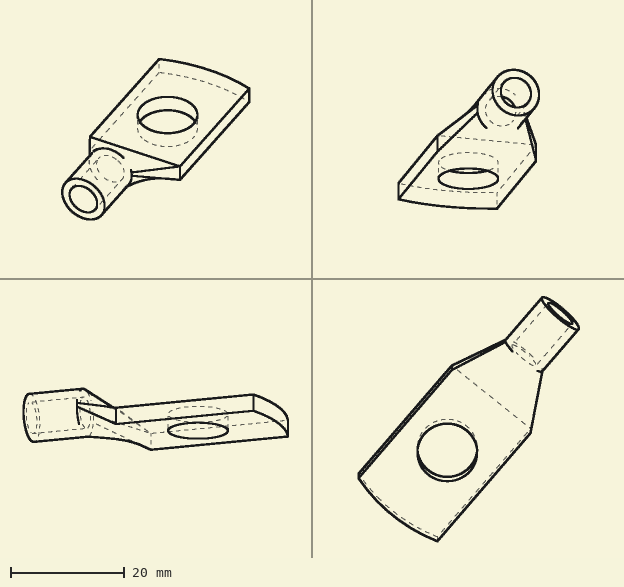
import cadquery as cq

total_length = 46.0
total_height = 9.5

palm_width = 18.0
palm_thickness = 3.0
palm_side_end = 44.6
bolt_hole_diameter = 10.5
bolt_hole_y = 31.05

barrel_diameter = 8.5
barrel_length = 10.0
bore_diameter = 5.5
bore_depth = barrel_length
barrel_axis_z = total_height - barrel_diameter / 2

neck_length = 9.0
palm_start = barrel_length + neck_length


def make_palm():
    """Flat plate with a bowed far end and a round bolt hole."""
    half_width = palm_width / 2
    plate = (
        cq.Workplane("XY")
        .moveTo(-half_width, palm_start)
        .lineTo(half_width, palm_start)
        .lineTo(half_width, palm_side_end)
        .threePointArc((0, total_length), (-half_width, palm_side_end))
        .close()
        .extrude(palm_thickness)
    )
    bolt_hole = (
        cq.Workplane("XY")
        .center(0, bolt_hole_y)
        .circle(bolt_hole_diameter / 2)
        .extrude(palm_thickness)
    )
    return plate.cut(bolt_hole)


def make_neck():
    """Loft from the barrel's circle to the palm's rectangular end."""
    return (
        cq.Workplane("XZ", origin=(0, barrel_length, barrel_axis_z))
        .circle(barrel_diameter / 2)
        .workplane(offset=-neck_length)
        .center(0, palm_thickness / 2 - barrel_axis_z)
        .rect(palm_width, palm_thickness)
        .loft()
    )


def along_barrel(diameter, length):
    """Cylinder on the barrel axis, running from the open end toward the palm."""
    return (
        cq.Workplane("XZ", origin=(0, 0, barrel_axis_z))
        .circle(diameter / 2)
        .extrude(-length)
    )


barrel = along_barrel(barrel_diameter, barrel_length)
bore = along_barrel(bore_diameter, bore_depth)
result = make_palm().union(make_neck()).union(barrel).cut(bore)